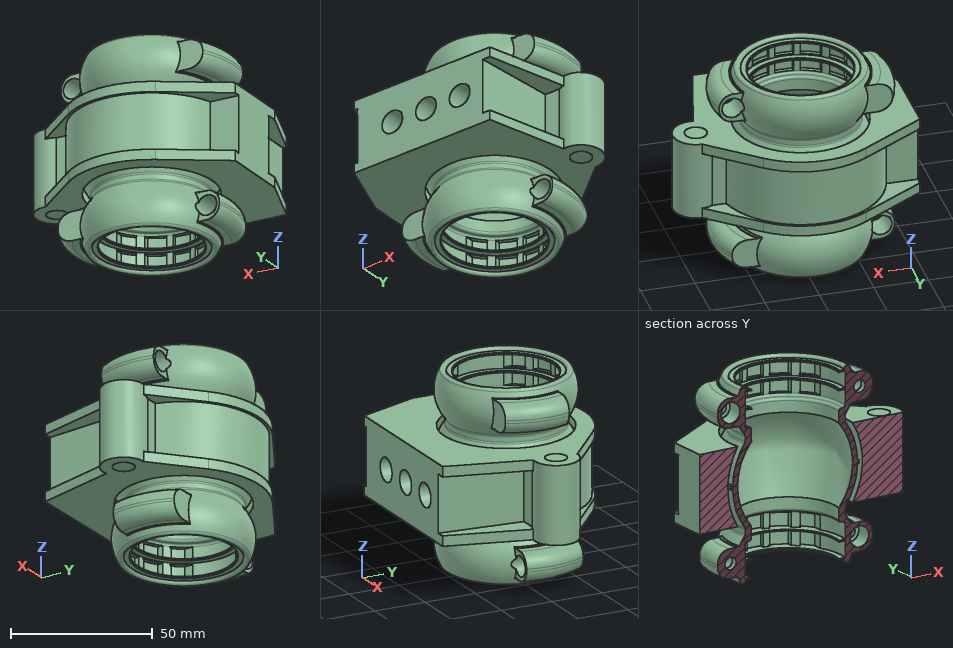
import cadquery as cq
import math

HOUSING_HEIGHT = 29.9
BACK_RADIUS = 31.4
FRONT_Y = -40.0
LEFT_X = -40.6
LEFT_BACK_Y = 11.9
LEFT_FRONT_Y = -16.4
FRONT_LEFT_X = -32.0
FRONT_RIGHT_X = 28.45
LUG_RADIUS = 8.5
LUG_X = 46.9 - LUG_RADIUS
SLANT_END_X = 37.0

FLANGE_THICKNESS = 3.9
WAIST_HEIGHT = HOUSING_HEIGHT - 2 * FLANGE_THICKNESS
WAIST_RADIUS = 30.4
LEFT_BLOCK_BACK_Y = 9.2
LEFT_BLOCK_FRONT_Y = -12.1
FRONT_BLOCK_LEFT_X = -30.55
FRONT_BLOCK_RIGHT_X = 25.3
WEB_HALF_WIDTH = 7.5
WEB_START_X = 28.3

CAVITY_RADIUS = 28.8
PORT_RADIUS = 4.55
PORT_PITCH = 15.0

PIN_RADIUS = 4.0

PIPE_HALF_HEIGHT = 36.81
BALL_RADIUS = 27.0
BALL_BORE_RADIUS = 24.7
RIDGE_RADIUS = 27.5
RIDGE_HALF_WIDTH = 0.4
NECK_RADIUS = 21.7
NECK_FILLET = 1.1
COLLAR_RADIUS = 25.6
COLLAR_ARC_RADIUS = 15.05
COLLAR_MIDDLE_Z = 28.8
BEAD_CENTRE_RADIUS = 22.5
BEAD_RADIUS = 1.27
BEAD_Z = PIPE_HALF_HEIGHT - BEAD_RADIUS
BEAD_EDGE_RISE = 0.35
BORE_RADIUS = 19.0
GROOVE_RADIUS = 21.5
LIP_THICKNESS = 0.7
LIP_CHAMFER_WIDTH = 0.3
LIP_CHAMFER_HEIGHT = 0.4
SEAT_Z = 35.4
TIER_PITCH = 6.8
THROAT_Z = 21.3
THROAT_ROUND = 1.05
GROOVE_FILLET = 0.9

POCKET_RADIUS = 23.2
POCKET_HALF_SPAN = 19.5
RIB_THICKNESS = 2.4
RIB_PITCH = 9.3
POCKET_FLOOR_GAP = 0.5

EAR_RADIUS = 33.3
EAR_HALF_HEIGHT = 5.6
EAR_ROUND = 5.1
EAR_Z = 28.0
EAR_ROOT_RADIUS = 25.3
EAR_ROOT_HALF_HEIGHT = 5.8
EAR_SOCKET_Y = -8.5
EAR_PLAIN_Y = 15.5
SOCKET_X = -27.3
SOCKET_RUNOUT = 4.4
SOCKET_STEPS = [(3.85, 10.5), (2.3, 13.1), (1.4, 15.75)]


def slab(bottom_z):
    return cq.Workplane("XY", origin=(0, 0, bottom_z))


def tangent_point(x, y, radius, turn):
    """Point where the line through (x, y) touches the circle about the origin."""
    angle = math.atan2(y, x) + turn * math.acos(radius / math.hypot(x, y))
    return radius * math.cos(angle), radius * math.sin(angle)


def flange(bottom_z):
    right_touch = tangent_point(LUG_X, LUG_RADIUS, BACK_RADIUS, 1)
    left_touch = tangent_point(LEFT_X, LEFT_BACK_Y, BACK_RADIUS, -1)
    slant_end_y = -math.sqrt(LUG_RADIUS ** 2 - (LUG_X - SLANT_END_X) ** 2)
    return (
        slab(bottom_z)
        .moveTo(FRONT_LEFT_X, FRONT_Y)
        .lineTo(FRONT_RIGHT_X, FRONT_Y)
        .lineTo(SLANT_END_X, slant_end_y)
        .threePointArc((LUG_X + LUG_RADIUS, 0), (LUG_X, LUG_RADIUS))
        .lineTo(*right_touch)
        .threePointArc((0, BACK_RADIUS), left_touch)
        .lineTo(LEFT_X, LEFT_BACK_Y)
        .lineTo(LEFT_X, LEFT_FRONT_Y)
        .close()
        .extrude(FLANGE_THICKNESS)
    )


def waist():
    """Recessed middle of the housing, set in from the flanges, with a web to the lug."""
    web_end_x = math.sqrt(WAIST_RADIUS ** 2 - WEB_HALF_WIDTH ** 2)
    left_end_x = -math.sqrt(WAIST_RADIUS ** 2 - LEFT_BLOCK_BACK_Y ** 2)
    return (
        slab(-WAIST_HEIGHT / 2)
        .moveTo(FRONT_BLOCK_LEFT_X, FRONT_Y)
        .lineTo(FRONT_BLOCK_RIGHT_X, FRONT_Y)
        .lineTo(WEB_START_X, -WEB_HALF_WIDTH)
        .lineTo(LUG_X, -WEB_HALF_WIDTH)
        .lineTo(LUG_X, WEB_HALF_WIDTH)
        .lineTo(web_end_x, WEB_HALF_WIDTH)
        .threePointArc((0, WAIST_RADIUS), (left_end_x, LEFT_BLOCK_BACK_Y))
        .lineTo(LEFT_X, LEFT_BLOCK_BACK_Y)
        .lineTo(LEFT_X, LEFT_BLOCK_FRONT_Y)
        .lineTo(FRONT_BLOCK_LEFT_X, LEFT_BLOCK_FRONT_Y)
        .close()
        .extrude(WAIST_HEIGHT)
    )


def ports():
    """Row of round ports from the front face into the socket."""
    return (
        cq.Workplane("XZ", origin=(0, FRONT_Y, 0))
        .pushPoints([(i * PORT_PITCH, 0) for i in (-1, 0, 1)])
        .circle(PORT_RADIUS)
        .extrude(FRONT_Y)
    )


def hinge_cylinder(radius):
    return slab(-HOUSING_HEIGHT / 2).center(LUG_X, 0).circle(radius).extrude(HOUSING_HEIGHT)


def housing_body():
    lower_flange = flange(-HOUSING_HEIGHT / 2)
    upper_flange = flange(WAIST_HEIGHT / 2)
    block = waist().union(lower_flange).union(upper_flange).union(hinge_cylinder(LUG_RADIUS))
    cavity = cq.Workplane("XY").sphere(CAVITY_RADIUS)
    return block.cut(cavity).cut(ports()).cut(hinge_cylinder(PIN_RADIUS))


def pin_body():
    return hinge_cylinder(PIN_RADIUS)


def sphere_z(sphere_radius, radius):
    """Height at which a sphere about the origin has the given radius."""
    return math.sqrt(sphere_radius ** 2 - radius ** 2)


def outer_half():
    """Solid upper half of the pipe: ridge, ball, neck, collar and bead."""
    neck_z = sphere_z(BALL_RADIUS, NECK_RADIUS)
    ridge_z = RIDGE_HALF_WIDTH + RIDGE_RADIUS - BALL_RADIUS
    ball_start_r = sphere_z(BALL_RADIUS, ridge_z)
    ball_middle_r = (ball_start_r + NECK_RADIUS) / 2
    collar_centre_r = COLLAR_RADIUS - COLLAR_ARC_RADIUS
    neck_top_z = COLLAR_MIDDLE_Z - sphere_z(COLLAR_ARC_RADIUS, NECK_RADIUS - collar_centre_r)
    bead_edge_z = BEAD_Z + BEAD_EDGE_RISE
    bead_edge_r = BEAD_CENTRE_RADIUS + sphere_z(BEAD_RADIUS, BEAD_EDGE_RISE)
    solid = (
        cq.Workplane("XZ")
        .moveTo(0, 0)
        .lineTo(RIDGE_RADIUS, 0)
        .lineTo(RIDGE_RADIUS, RIDGE_HALF_WIDTH)
        .lineTo(ball_start_r, ridge_z)
        .threePointArc((ball_middle_r, sphere_z(BALL_RADIUS, ball_middle_r)), (NECK_RADIUS, neck_z))
        .lineTo(NECK_RADIUS, neck_top_z)
        .threePointArc((COLLAR_RADIUS, COLLAR_MIDDLE_Z), (bead_edge_r, bead_edge_z))
        .threePointArc((BEAD_CENTRE_RADIUS, PIPE_HALF_HEIGHT), (BEAD_CENTRE_RADIUS - BEAD_RADIUS, BEAD_Z))
        .lineTo(0, BEAD_Z)
        .close()
        .revolve(360, (0, 0, 0), (0, 1, 0))
    )
    neck_zone = cq.selectors.BoxSelector(
        (-COLLAR_RADIUS, -COLLAR_RADIUS, neck_z - NECK_FILLET),
        (COLLAR_RADIUS, COLLAR_RADIUS, neck_top_z + NECK_FILLET),
    )
    return solid.edges("%CIRCLE").edges(neck_zone).fillet(NECK_FILLET)


def bore_half():
    """Space inside the upper half: ball bore, throat, two grooves and the mouth."""
    throat_bottom_z = sphere_z(BALL_BORE_RADIUS, BORE_RADIUS)
    middle_r = (BALL_BORE_RADIUS + BORE_RADIUS) / 2
    mouth_r = BEAD_CENTRE_RADIUS - BEAD_RADIUS
    profile = (
        cq.Workplane("XZ")
        .moveTo(0, 0)
        .lineTo(BALL_BORE_RADIUS, 0)
        .threePointArc((middle_r, sphere_z(BALL_BORE_RADIUS, middle_r)), (BORE_RADIUS, throat_bottom_z))
        .lineTo(BORE_RADIUS, THROAT_Z - THROAT_ROUND)
        .radiusArc((BORE_RADIUS + THROAT_ROUND, THROAT_Z), THROAT_ROUND)
        .lineTo(GROOVE_RADIUS - GROOVE_FILLET, THROAT_Z)
        .radiusArc((GROOVE_RADIUS, THROAT_Z + GROOVE_FILLET), -GROOVE_FILLET)
    )
    for lip_z in (SEAT_Z - TIER_PITCH, SEAT_Z):
        profile = (
            profile.lineTo(GROOVE_RADIUS, lip_z - LIP_THICKNESS)
            .lineTo(BORE_RADIUS, lip_z - LIP_THICKNESS)
            .lineTo(BORE_RADIUS, lip_z - LIP_CHAMFER_HEIGHT)
            .lineTo(BORE_RADIUS + LIP_CHAMFER_WIDTH, lip_z)
            .lineTo(GROOVE_RADIUS, lip_z)
        )
    return (
        profile.lineTo(mouth_r, SEAT_Z)
        .lineTo(mouth_r, PIPE_HALF_HEIGHT)
        .lineTo(0, PIPE_HALF_HEIGHT)
        .close()
        .revolve(360, (0, 0, 0), (0, 1, 0))
    )


def pocket_ring(floor_z):
    """Ring of pockets behind one groove, parted by ribs that run along Y."""
    height = TIER_PITCH - LIP_THICKNESS - POCKET_FLOOR_GAP
    ring = slab(floor_z).circle(POCKET_RADIUS).circle(BORE_RADIUS + LIP_CHAMFER_WIDTH).extrude(height)
    span = slab(floor_z).rect(2 * POCKET_HALF_SPAN, 2 * POCKET_RADIUS).extrude(height)
    ribs = (
        slab(floor_z)
        .pushPoints([(i * RIB_PITCH, 0) for i in (-1.5, -0.5, 0.5, 1.5)])
        .rect(RIB_THICKNESS, 2 * POCKET_RADIUS)
        .extrude(height)
    )
    return ring.intersect(span).cut(ribs)


def ear():
    """Left ear: rounded bar swept around the pipe and cut off square at both ends."""
    bar = (
        slab(EAR_Z - EAR_HALF_HEIGHT)
        .circle(EAR_RADIUS)
        .extrude(2 * EAR_HALF_HEIGHT)
        .faces("<Z or >Z")
        .edges()
        .fillet(EAR_ROUND)
    )
    root = slab(EAR_Z - EAR_ROOT_HALF_HEIGHT).circle(EAR_ROOT_RADIUS).extrude(2 * EAR_ROOT_HALF_HEIGHT)
    width = EAR_PLAIN_Y - EAR_SOCKET_Y
    keep = cq.Workplane("XY").box(EAR_RADIUS, width, PIPE_HALF_HEIGHT, centered=False)
    keep = keep.translate((-EAR_RADIUS, EAR_SOCKET_Y, 0))
    return bar.union(root).intersect(keep)


def socket():
    """Stepped screw socket in the ear, with a runout that notches the collar."""
    runout_start = (SOCKET_X, EAR_SOCKET_Y - SOCKET_RUNOUT, EAR_Z)
    mouth_radius = SOCKET_STEPS[0][0]
    hole = cq.Workplane("XZ", origin=runout_start).circle(mouth_radius).extrude(-SOCKET_RUNOUT)
    for radius, depth in SOCKET_STEPS:
        step = cq.Workplane("XZ", origin=(SOCKET_X, EAR_SOCKET_Y, EAR_Z)).circle(radius).extrude(-depth)
        hole = hole.union(step)
    return hole


def half_turn(shape):
    return shape.rotate((0, 0, 0), (0, 0, 1), 180)


def pipe_body():
    half = outer_half().union(ear()).union(half_turn(ear()))
    half = half.cut(bore_half()).cut(socket()).cut(half_turn(socket()))
    for tier in (1, 2):
        half = half.cut(pocket_ring(SEAT_Z - tier * TIER_PITCH + POCKET_FLOOR_GAP))
    return half.union(half.rotate((0, 0, 0), (0, 1, 0), 180))


housing = housing_body()
pin = pin_body()
pipe = pipe_body()

result = cq.Compound.makeCompound([housing.val(), pin.val(), pipe.val()])